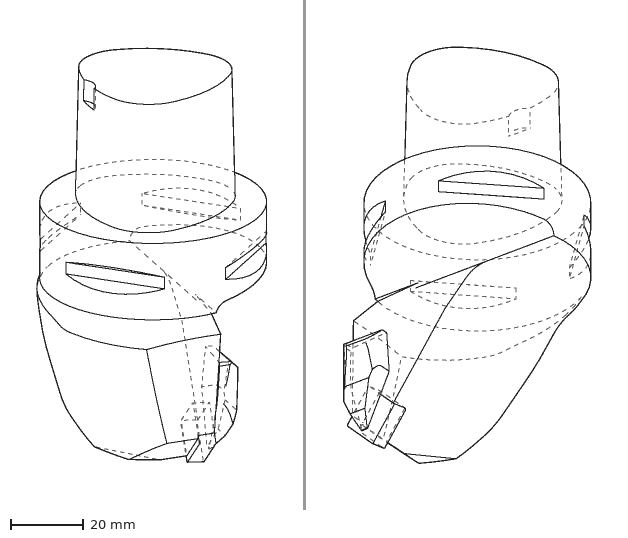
import cadquery as cq
import math

shank_height = 38.0
flank_reach = 20.4
lobe_reach = 23.5
joint_reach = 22.0
joint_angle = 34.7
shank_taper = 0.9
lobe_count = 3

notch_radius = 5.3
notch_depth = 1.6
notch_height = 6.2

flange_radius = 31.5
flange_height = 22.8
lip_height = 1.2

slot_count = 4
slot_floor_distance = 27.8
slot_mid_z = -11.9
slot_floor_height = 3.5
slot_wall_angle = 30.0

head_flat_y = -35.5
shoulder_angle = 15.0
underside_x = -3.3
underside_blend = 10.2
end_face_offset = 2.6
side_top_x = 40.4
side_top_z = -24.0
side_bottom_x = 43.2
side_bottom_z = -54.1

face_y = 5.8
relief_rim_z = -17.9
relief_root_z = -20.4
relief_blend = 4.1

insert_side = 12.7
insert_thickness = 4.8
insert_corner_radius = 0.5
insert_x = 36.4
insert_y = 0.8
insert_z = -55.7
rake_slope = 0.098

clamp_left_x = 28.6
clamp_right_x = 43.2
clamp_root_y = -5.1
clamp_top_z = -32.7
clamp_nose_z = -59.2
clamp_taper_z = -45.2

flange_bottom_z = -flange_height
lip_bottom_z = flange_bottom_z - lip_height
floor_z = -81.9
beyond = 61.4

rake_plane = cq.Plane(
    origin=(insert_x, insert_y, insert_z),
    xDir=(1, 0, 1),
    normal=(rake_slope, 1, -rake_slope),
)


def polar(radius, degrees):
    return (radius * math.cos(math.radians(degrees)), radius * math.sin(math.radians(degrees)))


def trilobe(z, shrink):
    """Closed outline of three shallow flanks joined by three tighter lobes."""
    pitch = 360 / lobe_count
    first_flank = -90
    outline = cq.Workplane("XY", origin=(0, 0, z)).moveTo(
        *polar(joint_reach - shrink, first_flank - joint_angle))
    for index in range(lobe_count):
        flank = first_flank + index * pitch
        outline = outline.threePointArc(
            polar(flank_reach - shrink, flank),
            polar(joint_reach - shrink, flank + joint_angle))
        outline = outline.threePointArc(
            polar(lobe_reach - shrink, flank + pitch / 2),
            polar(joint_reach - shrink, flank + pitch - joint_angle))
    return outline.close().wires().val()


def make_shank():
    shank = cq.Workplane(cq.Solid.makeLoft(
        [trilobe(0, 0), trilobe(shank_height, shank_taper)], True))
    notch_y = -(flank_reach - shank_taper - notch_depth + notch_radius)
    notch = (cq.Workplane("XY", origin=(0, notch_y, shank_height - notch_height))
             .circle(notch_radius).extrude(notch_height))
    return shank.cut(notch)


def make_flange():
    flange = cq.Workplane("XY").circle(flange_radius).extrude(lip_bottom_z)
    reach = flange_radius + 1 - slot_floor_distance
    floor_half = slot_floor_height / 2
    mouth_half = floor_half + reach * math.tan(math.radians(slot_wall_angle))
    slot = (cq.Workplane("XZ", origin=(0, flange_radius, slot_mid_z))
            .polyline([(slot_floor_distance, -floor_half),
                       (slot_floor_distance + reach, -mouth_half),
                       (slot_floor_distance + reach, mouth_half),
                       (slot_floor_distance, floor_half)])
            .close().extrude(2 * flange_radius))
    pitch = 360 / slot_count
    for index in range(slot_count):
        flange = flange.cut(slot.rotate((0, 0, 0), (0, 0, 1), (index + 0.5) * pitch))
    return flange


def head_column():
    """Upright column with the outline of the head, under a conical shoulder."""
    inner_x, inner_y = -16.1, -27.0
    outer_x = 46.1
    column = (cq.Workplane("XY", origin=(0, 0, floor_z))
              .moveTo(inner_x, inner_y)
              .threePointArc((-2.9, -33.6), (11.0, head_flat_y))
              .lineTo(17.0, head_flat_y)
              .threePointArc((20.3, -35.3), (23.3, -34.3))
              .threePointArc((32.3, -28.6), (43.3, -13.7))
              .lineTo(outer_x, -8.8)
              .lineTo(outer_x, face_y)
              .lineTo(inner_x, face_y)
              .close().extrude(-floor_z))
    cone_radius = beyond
    cone_drop = (cone_radius - flange_radius) * math.tan(math.radians(shoulder_angle))
    under_cone = (cq.Workplane("XZ")
                  .polyline([(0, flange_bottom_z), (flange_radius, flange_bottom_z),
                             (cone_radius, flange_bottom_z - cone_drop),
                             (cone_radius, floor_z), (0, floor_z)])
                  .close().revolve(360, (0, 0, 0), (0, 1, 0)))
    return column.intersect(under_cone)


def side_profile():
    """Head seen along Y: 45 degree underside, square end and leaning outer side."""
    underside_sum = underside_x + lip_bottom_z
    insert_reach = math.sqrt(2) * (insert_side / 2 - end_face_offset)
    end_difference = insert_x - insert_z + insert_reach
    tip = ((underside_sum + end_difference) / 2, (underside_sum - end_difference) / 2)
    lean = (side_bottom_x - side_top_x) / (side_bottom_z - side_top_z)
    corner_z = (side_bottom_x - lean * side_bottom_z - end_difference) / (1 - lean)
    corner = (corner_z + end_difference, corner_z)
    top_x = side_bottom_x - lean * side_bottom_z
    half_turn = math.radians(45 / 2)
    blend_run = underside_blend * math.tan(half_turn)
    blend_start = (underside_x - blend_run, lip_bottom_z)
    blend_drop = blend_run / math.sqrt(2)
    blend_end = (underside_x + blend_drop, lip_bottom_z - blend_drop)
    blend_mid = (blend_start[0] + underside_blend * math.sin(half_turn),
                 lip_bottom_z - underside_blend * (1 - math.cos(half_turn)))
    return (cq.Workplane("XZ", origin=(0, beyond, 0))
            .moveTo(-beyond, 0).lineTo(-beyond, lip_bottom_z).lineTo(*blend_start)
            .threePointArc(blend_mid, blend_end)
            .lineTo(*tip).lineTo(*corner).lineTo(top_x, 0)
            .close().extrude(2 * beyond))


def end_relief():
    """Half space that bevels the outer lower corner of the head."""
    on_underside = cq.Vector(30.1, -30.7, -57.4)
    on_end_face = cq.Vector(37.9, -22.5, -59.9)
    at_tip = cq.Vector(35.1, -13.1, -62.2)
    normal = (on_end_face - on_underside).cross(at_tip - on_underside)
    if normal.z > 0:
        normal = normal * -1
    plane = cq.Plane(origin=on_underside.toTuple(), normal=normal.toTuple())
    return cq.Workplane(plane).rect(2 * beyond, 2 * beyond).extrude(beyond)


def face_relief():
    """Space behind the head face and under the back of the flange."""
    slope = (relief_rim_z - relief_root_z) / (flange_radius - face_y)
    outer_z = relief_root_z + slope * (beyond - face_y)
    return (cq.Workplane("YZ", origin=(-beyond, 0, 0))
            .polyline([(face_y, floor_z), (face_y, relief_root_z),
                       (beyond, outer_z), (beyond, floor_z)])
            .close().extrude(2 * beyond)
            .edges("|X").edges("<Y").edges(">Z").fillet(relief_blend))


def rake_block(depth):
    return cq.Workplane(rake_plane).rect(4 * beyond, 4 * beyond).extrude(depth)


def rake_relief():
    """Space in front of the rake face, kept clear of the flange."""
    below_flange = (cq.Workplane("XY", origin=(0, 0, floor_z))
                    .rect(4 * beyond, 4 * beyond).extrude(flange_bottom_z - floor_z))
    return rake_block(beyond).intersect(below_flange)


def make_clamp():
    """Raised clamp that rests on the head face and on the insert."""
    along = (cq.Workplane("YZ", origin=(clamp_left_x, 0, 0))
             .polyline([(clamp_root_y, clamp_top_z), (5.9, -33.5), (9.7, -37.1), (8.6, -49.1),
                        (4.7, -55.7), (0.5, clamp_nose_z), (clamp_root_y, clamp_nose_z)])
             .close().extrude(clamp_right_x - clamp_left_x))
    across = (cq.Workplane("XY", origin=(0, 0, floor_z))
              .moveTo(clamp_left_x, clamp_root_y).lineTo(clamp_left_x, 5.1)
              .threePointArc((clamp_left_x + 1, 8.6), (clamp_left_x + 3.6, 9.7))
              .lineTo(38.4, 9.4)
              .threePointArc((41.2, 7.0), (clamp_right_x, 1.5))
              .lineTo(clamp_right_x, clamp_root_y)
              .close().extrude(-floor_z))
    lengthwise = (cq.Workplane("XZ", origin=(0, beyond, 0))
                  .polyline([(clamp_left_x, clamp_top_z), (40.9, clamp_top_z), (42.2, -34.1), (43, -42),
                             (43, clamp_taper_z), (39.9, clamp_nose_z), (37.9, clamp_nose_z),
                             (clamp_left_x, clamp_taper_z)])
                  .close().extrude(2 * beyond))
    clamp = along.intersect(across).intersect(lengthwise)
    return clamp.cut(rake_block(-beyond))


def make_insert():
    return (cq.Workplane(rake_plane).rect(insert_side, insert_side)
            .extrude(-insert_thickness)
            .edges(cq.selectors.ParallelDirSelector(rake_plane.zDir))
            .fillet(insert_corner_radius))


def make_holder(insert):
    head = head_column().intersect(side_profile()).cut(end_relief())
    body = make_flange().union(head).cut(face_relief()).cut(rake_relief())
    return body.union(make_clamp()).union(make_shank()).cut(insert)


insert = make_insert()
holder = make_holder(insert)
result = cq.Compound.makeCompound([holder.solids().val(), insert.solids().val()])